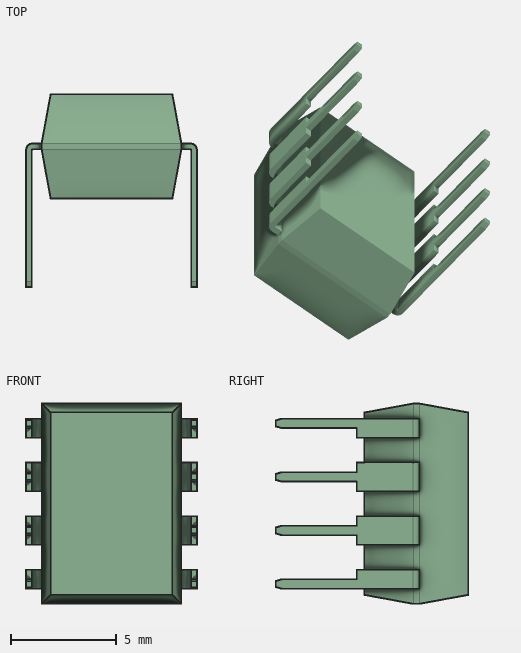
import cadquery as cq

body_width = 6.63
body_height = 9.5
body_depth = 4.94
face_inset = 0.43

lead_span = 8.1
lead_thickness = 0.285
bend_inner_radius = 0.04
lead_pitch = 2.54
leads_per_row = 4
shoulder_width = 1.37
pin_width = 0.46
tip_width = 0.285
tip_length = 0.285
shoulder_length = 2.97
lead_length = 6.81

band_half = lead_thickness / 2
taper_depth = body_depth / 2 - band_half
bend_outer_radius = bend_inner_radius + lead_thickness
lead_inner_x = body_width / 2
lead_outer_x = lead_span / 2
step_y = band_half - shoulder_length
tip_y = band_half - lead_length


def make_body_half(direction):
    """One half of the body, from the mid-plane to its face on the +Y (1) or -Y (-1) side."""
    band = (
        cq.Workplane("XZ")
        .rect(body_width, body_height)
        .extrude(-direction * band_half)
    )
    taper = (
        cq.Workplane("XZ", origin=(0, direction * band_half, 0))
        .rect(body_width, body_height)
        .workplane(offset=-direction * taper_depth)
        .rect(body_width - 2 * face_inset, body_height - 2 * face_inset)
        .loft(ruled=True)
    )
    return band.union(taper)


def make_body():
    """The whole moulded body as one solid."""
    return make_body_half(1).union(make_body_half(-1))


def make_bent_strip():
    """Full-height L-shaped strip on the +X side, leaving the body and bending toward -Y."""
    strip = (
        cq.Workplane("XY", origin=(0, 0, -body_height / 2))
        .moveTo(lead_inner_x, band_half)
        .lineTo(lead_outer_x - bend_outer_radius, band_half)
        .radiusArc((lead_outer_x, band_half - bend_outer_radius), bend_outer_radius)
        .lineTo(lead_outer_x, tip_y)
        .lineTo(lead_outer_x - lead_thickness, tip_y)
        .lineTo(lead_outer_x - lead_thickness, -band_half - bend_inner_radius)
        .radiusArc((lead_outer_x - bend_outer_radius, -band_half), -bend_inner_radius)
        .lineTo(lead_inner_x, -band_half)
        .close()
        .extrude(body_height)
    )
    return strip


def make_blank(pin_z, shoulder_bottom, shoulder_top):
    """Flat lead shape in Y and Z: shoulder, narrow pin and tapered tip, spanning all of X."""
    pin_half = pin_width / 2
    tip_half = tip_width / 2
    taper_y = tip_y + tip_length
    shoulder = (
        cq.Workplane("YZ")
        .moveTo(step_y, shoulder_bottom)
        .lineTo(band_half, shoulder_bottom)
        .lineTo(band_half, shoulder_top)
        .lineTo(step_y, shoulder_top)
        .close()
        .extrude(lead_outer_x)
    )
    pin = (
        cq.Workplane("YZ")
        .moveTo(band_half, pin_z - pin_half)
        .lineTo(taper_y, pin_z - pin_half)
        .lineTo(tip_y, pin_z - tip_half)
        .lineTo(tip_y, pin_z + tip_half)
        .lineTo(taper_y, pin_z + pin_half)
        .lineTo(band_half, pin_z + pin_half)
        .close()
        .extrude(lead_outer_x)
    )
    return shoulder.union(pin)


def make_lead(index):
    """Lead on the +X side, counted from the bottom; the end leads have no outward shoulder."""
    pin_z = (index - (leads_per_row - 1) / 2) * lead_pitch
    is_bottom = index == 0
    is_top = index == leads_per_row - 1
    below = pin_width / 2 if is_bottom else shoulder_width / 2
    above = pin_width / 2 if is_top else shoulder_width / 2
    return make_bent_strip().intersect(make_blank(pin_z, pin_z - below, pin_z + above))


body = make_body()

leads = []
for lead_index in range(leads_per_row):
    lead = make_lead(lead_index)
    leads.append(lead.val())
    leads.append(lead.mirror("YZ").val())

result = cq.Compound.makeCompound([body.val(), *leads])